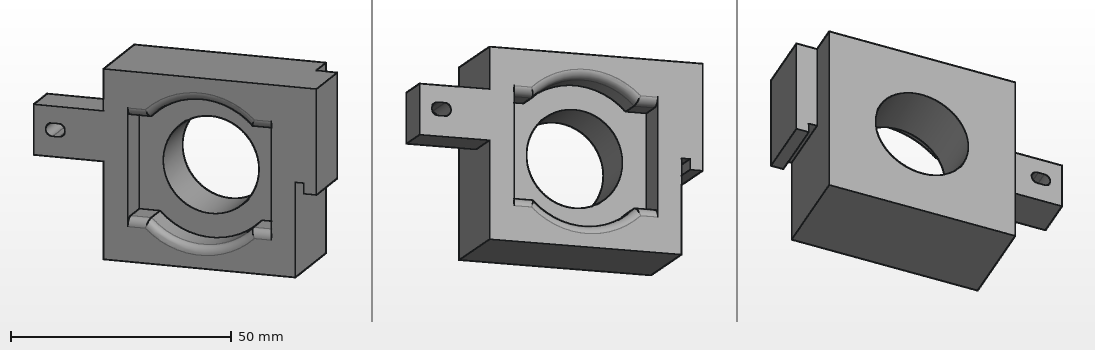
import cadquery as cq
import math

overall_length = 68.0
body_depth = 21.5
body_height = 45.0
body_width = 46.1

tab_length = 16.8
tab_height = 12.0
tab_depth = 9.45
tab_drop = 9.9

slot_length = 4.6
slot_width = 3.1
slot_inset = 5.25
slot_drop = 15.5

flange_width = overall_length - tab_length - body_width
flange_depth = 14.55
flange_height = 25.0
hook_gap_width = 2.05
hook_gap_height = 2.5

axis_inset = 23.1
axis_drop = 22.65
bore_diameter = 23.0
pocket_width = 34.5
pocket_height = 23.95
pocket_radius = 17.15
pocket_depth = 7.95
mouth_fillet = 2.05

body_left = -axis_inset
body_right = body_left + body_width
top = axis_drop


def front_box(left, upper, width, height, depth):
    """Box reaching back from the front face, placed by its upper left corner."""
    return cq.Workplane("XY").box(width, depth, height, centered=False).translate((left, 0, upper - height))


def front_plane():
    """Plane on the front face whose normal points out of the part."""
    return cq.Workplane("XZ")


def make_tab():
    tab_left = body_left - tab_length
    tab = front_box(tab_left, top - tab_drop, tab_length, tab_height, tab_depth)
    slot = (
        front_plane()
        .center(tab_left + slot_inset, top - slot_drop)
        .slot2D(slot_length, slot_width)
        .extrude(-tab_depth)
    )
    return tab.cut(slot)


def make_flange():
    flange = front_box(body_right, top, flange_width, flange_height, flange_depth)
    gap_top = top - flange_height + hook_gap_height
    return flange.cut(front_box(body_right, gap_top, hook_gap_width, hook_gap_height, flange_depth))


def make_pocket():
    """Rectangular pocket with a circular bulge above and below."""
    half_width = pocket_width / 2
    half_height = pocket_height / 2
    bulge_x = math.sqrt(pocket_radius**2 - half_height**2)
    return (
        front_plane()
        .moveTo(-half_width, -half_height)
        .lineTo(-bulge_x, -half_height)
        .threePointArc((0, -pocket_radius), (bulge_x, -half_height))
        .lineTo(half_width, -half_height)
        .lineTo(half_width, half_height)
        .lineTo(bulge_x, half_height)
        .threePointArc((0, pocket_radius), (-bulge_x, half_height))
        .lineTo(-half_width, half_height)
        .close()
        .extrude(-pocket_depth)
    )


body = front_box(body_left, top, body_width, body_height, body_depth).cut(make_pocket())
margin = 0.7
mouth_x = pocket_width / 2 - margin
mouth_z = pocket_radius + margin
mouth_region = cq.selectors.BoxSelector((-mouth_x, -margin, -mouth_z), (mouth_x, margin, mouth_z))
body = body.faces("<Y").edges(mouth_region).fillet(mouth_fillet)

bore = front_plane().circle(bore_diameter / 2).extrude(-body_depth)

result = body.cut(bore).union(make_tab()).union(make_flange())